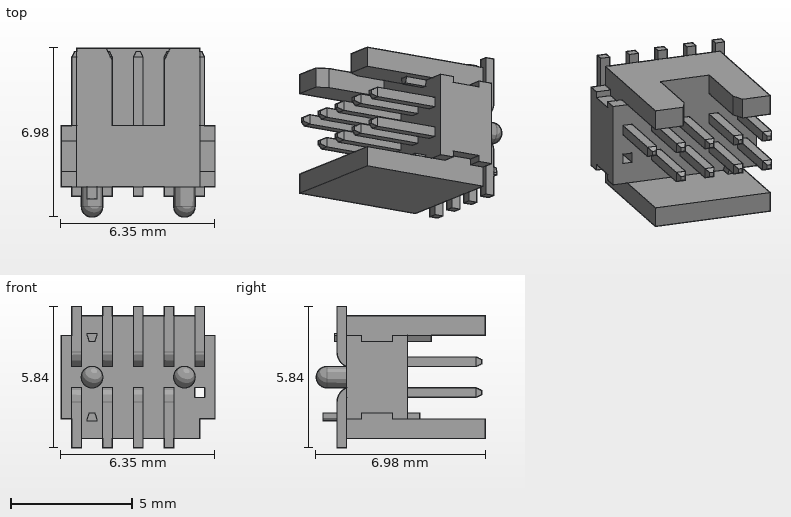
import cadquery as cq


OVERALL_LENGTH = 6.98
OVERALL_HEIGHT = 5.84

PITCH = 1.27
COLUMNS = 5
ROW_Z = PITCH / 2
CONTACT_SIZE = 0.405
EMPTY_COLUMN = COLUMNS - 1

BLOCK_WIDTH = 5 * PITCH
BLOCK_DEPTH = 2.52
BLOCK_HEIGHT = 3.44
PLATE_WIDTH = 4 * PITCH
PLATE_LENGTH = 5.725
PLATE_OUTER_Z = 2 * PITCH
PLATE_INNER_Z = BLOCK_HEIGHT / 2
PLATE_THICKNESS = PLATE_OUTER_Z - PLATE_INNER_Z

SLOT_WIDTH = 2.165
SLOT_MOUTH_WIDTH = 2.64
SLOT_TAPER_LENGTH = 0.48

NOTCH_LENGTH = PITCH
NOTCH_DEPTH = 0.25
WING_WIDTH = (BLOCK_WIDTH - PLATE_WIDTH) / 2

TAIL_TIP_Y = 5.585
TAIL_TAPER = 0.24
TAIL_TIP_SIZE = 0.17
LEG_THICKNESS = 0.4
LEG_END_Z = OVERALL_HEIGHT / 2
BEND_HEIGHT = 0.6

PEG_RADIUS = 0.45
PEG_LENGTH = OVERALL_LENGTH - PLATE_LENGTH
PEG_X = 1.5 * PITCH

BAR_X = -1.5 * PITCH
BAR_LENGTH = 4.0
BAR_WIDTH = 0.4
BAR_NARROW_WIDTH = 0.23
BAR_EMBED = 0.085
UPPER_BAR_FRONT_Y = -0.5
LOWER_BAR_FRONT_Y = -0.98


def box_between(x_range, y_range, z_range):
    """Box that fills the given ranges."""
    size = [high - low for low, high in (x_range, y_range, z_range)]
    corner = (x_range[0], y_range[0], z_range[0])
    return cq.Workplane("XY").box(*size, centered=False).translate(corner)


def centred(width, middle=0.0):
    """Range of the given width about a middle value."""
    return (middle - width / 2, middle + width / 2)


def column_x(column):
    """X position of a contact column."""
    return (column - (COLUMNS - 1) / 2) * PITCH


def lower_plate():
    return box_between(centred(PLATE_WIDTH), (0, PLATE_LENGTH), (-PLATE_OUTER_Z, -PLATE_INNER_Z))


def upper_plate():
    """Plate with a central slot that flares at its open end."""
    half_plate = PLATE_WIDTH / 2
    half_slot = SLOT_WIDTH / 2
    half_mouth = SLOT_MOUTH_WIDTH / 2
    taper_start = PLATE_LENGTH - SLOT_TAPER_LENGTH
    outline = [
        (-half_plate, 0),
        (half_plate, 0),
        (half_plate, PLATE_LENGTH),
        (half_mouth, PLATE_LENGTH),
        (half_slot, taper_start),
        (half_slot, BLOCK_DEPTH),
        (-half_slot, BLOCK_DEPTH),
        (-half_slot, taper_start),
        (-half_mouth, PLATE_LENGTH),
        (-half_plate, PLATE_LENGTH),
    ]
    return (
        cq.Workplane("XY", origin=(0, 0, PLATE_INNER_Z))
        .polyline(outline)
        .close()
        .extrude(PLATE_THICKNESS)
    )


def block():
    """Central block whose wings are notched at the top and bottom."""
    body = box_between(centred(BLOCK_WIDTH), (0, BLOCK_DEPTH), centred(BLOCK_HEIGHT))
    wing_middle_x = (BLOCK_WIDTH - WING_WIDTH) / 2
    notch_middle_z = (BLOCK_HEIGHT - NOTCH_DEPTH) / 2
    for side in (-1, 1):
        for level in (-1, 1):
            body = body.cut(
                box_between(
                    centred(WING_WIDTH, side * wing_middle_x),
                    centred(NOTCH_LENGTH, BLOCK_DEPTH / 2),
                    centred(NOTCH_DEPTH, level * notch_middle_z),
                )
            )
    return body


def empty_contact_hole():
    """Square passage left at the position without a contact."""
    return box_between(
        centred(CONTACT_SIZE, column_x(EMPTY_COLUMN)),
        (0, BLOCK_DEPTH),
        centred(CONTACT_SIZE, -ROW_Z),
    )


def locating_peg(x):
    """Round-ended peg that points to -Y."""
    shank_length = PEG_LENGTH - PEG_RADIUS
    profile = (
        cq.Workplane("XY")
        .lineTo(PEG_RADIUS, 0)
        .lineTo(PEG_RADIUS, -shank_length)
        .radiusArc((0, -PEG_LENGTH), PEG_RADIUS)
        .close()
    )
    return profile.revolve(360, (0, 0, 0), (0, 1, 0)).translate((x, 0, 0))


def contact_tail():
    """Square tail with a pointed tip, on the middle of the upper row."""
    taper_start = TAIL_TIP_Y - TAIL_TAPER
    shaft = box_between(
        centred(CONTACT_SIZE), (BLOCK_DEPTH, taper_start), centred(CONTACT_SIZE, ROW_Z)
    )
    tip = (
        cq.Workplane("XZ", origin=(0, taper_start, ROW_Z))
        .rect(CONTACT_SIZE, CONTACT_SIZE)
        .workplane(offset=-TAIL_TAPER)
        .rect(TAIL_TIP_SIZE, TAIL_TIP_SIZE)
        .loft(ruled=True)
    )
    return shaft.union(tip)


def contact_leg():
    """Leg that lies on the mounting face and rounds into the housing at its lower end."""
    inner_z = ROW_Z - CONTACT_SIZE / 2
    bend_top_z = inner_z + BEND_HEIGHT
    bend_radius = (LEG_THICKNESS**2 + BEND_HEIGHT**2) / (2 * LEG_THICKNESS)
    return (
        cq.Workplane("YZ", origin=(-CONTACT_SIZE / 2, 0, 0))
        .moveTo(0, inner_z)
        .lineTo(0, LEG_END_Z)
        .lineTo(-LEG_THICKNESS, LEG_END_Z)
        .lineTo(-LEG_THICKNESS, bend_top_z)
        .radiusArc((0, inner_z), -bend_radius)
        .close()
        .extrude(CONTACT_SIZE)
    )


def dovetail_bar(front_y):
    """Bar at the upper plate: straight sides inside the plate, narrowing towards the middle."""
    half_wide = BAR_WIDTH / 2
    half_narrow = BAR_NARROW_WIDTH / 2
    embedded_z = PLATE_INNER_Z + BAR_EMBED
    narrow_z = PLATE_INNER_Z - NOTCH_DEPTH
    section = [
        (-half_wide, embedded_z),
        (half_wide, embedded_z),
        (half_wide, PLATE_INNER_Z),
        (half_narrow, narrow_z),
        (-half_narrow, narrow_z),
        (-half_wide, PLATE_INNER_Z),
    ]
    return (
        cq.Workplane("XZ", origin=(BAR_X, front_y, 0))
        .polyline(section)
        .close()
        .extrude(-BAR_LENGTH)
    )


upper_bar = dovetail_bar(UPPER_BAR_FRONT_Y)
lower_bar = dovetail_bar(LOWER_BAR_FRONT_Y).mirror("XY")

housing = block().union(upper_plate()).union(lower_plate())
housing = housing.cut(empty_contact_hole())

for peg_x in (-PEG_X, PEG_X):
    housing = housing.union(locating_peg(peg_x))

for contact_part in (contact_tail(), contact_leg()):
    for column in range(COLUMNS):
        upper_part = contact_part.translate((column_x(column), 0, 0))
        housing = housing.union(upper_part)
        if column != EMPTY_COLUMN:
            housing = housing.union(upper_part.mirror("XY"))

for bar in (upper_bar, lower_bar):
    housing = housing.cut(bar)

result = cq.Compound.makeCompound([housing.solids().val(), upper_bar.val(), lower_bar.val()])